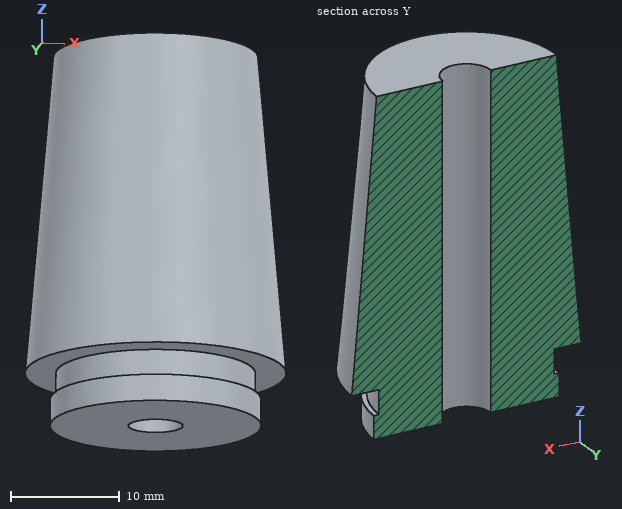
import cadquery as cq

total_height = 35.0
base_diameter = 24.1
top_diameter = 18.9
bore_diameter = 5.0

flange_diameter = 19.5
flange_height = 2.5
neck_diameter = 18.4
neck_height = 2.5

body_bottom = flange_height + neck_height


def tapered_body():
    """Cone frustum standing on the neck."""
    return (
        cq.Workplane("XY")
        .workplane(offset=body_bottom)
        .circle(base_diameter / 2)
        .workplane(offset=total_height - body_bottom)
        .circle(top_diameter / 2)
        .loft(ruled=True)
    )


def spigot():
    """End flange with a narrower neck joining it to the body."""
    flange = cq.Workplane("XY").circle(flange_diameter / 2).extrude(flange_height)
    return flange.faces(">Z").workplane().circle(neck_diameter / 2).extrude(neck_height)


bore = cq.Workplane("XY").circle(bore_diameter / 2).extrude(total_height)

result = spigot().union(tapered_body()).cut(bore)